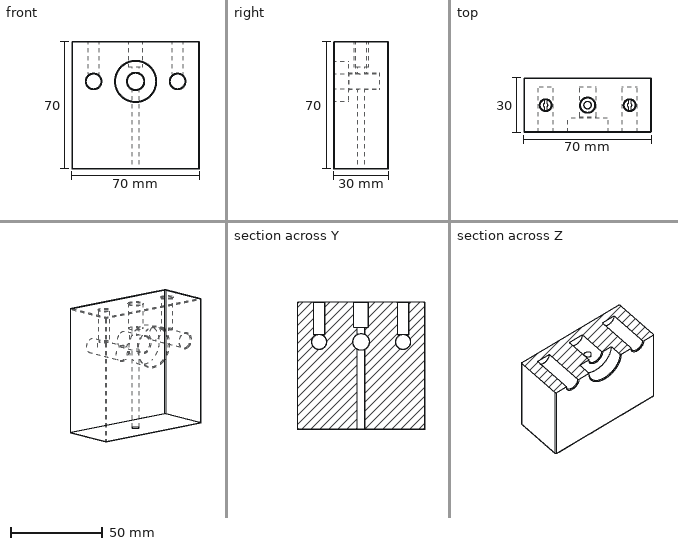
import cadquery as cq
import math

WIDTH = 70
THICKNESS = 30.0
HEIGHT = 70
EDGE_CHAMFER = 0.5
TOP_Z = HEIGHT / 2
FRONT_Y = -THICKNESS / 2

SIDE_OFFSET = 23.0
BORE_DROP = 22.0
BORE_Z = TOP_Z - BORE_DROP

SIDE_BORE_DIAMETER = 8.1
RECESS_DIAMETER = 22.1
RECESS_DEPTH = 8.0
CENTRE_BORE_DIAMETER = 9.0
BORE_DEPTH = 25.0

SIDE_HOLE_DIAMETER = 6.0
PILOT_DIAMETER = 2.4
SLIT_WIDTH = 1.3
CENTRE_HOLE_DIAMETER = 7.85
CENTRE_HOLE_DEPTH = 14
THROUGH_DIAMETER = 4.0

SIDE_BORE_RADIUS = SIDE_BORE_DIAMETER / 2
SIDE_HOLE_DEPTH = BORE_DROP - math.sqrt(SIDE_BORE_RADIUS**2 - (SLIT_WIDTH / 2) ** 2)

INTO_BLOCK = cq.Vector(0, 1, 0)
DOWN = cq.Vector(0, 0, -1)


def drill(start, direction, diameter, depth):
    """Plain flat-ended cylinder running from start along direction."""
    return cq.Solid.makeCylinder(diameter / 2, depth, start, direction)


def chamfered_drill(start, direction, diameter, depth):
    """Cylinder with a 45 degree flare at its mouth."""
    radius = diameter / 2
    flare = cq.Solid.makeCone(radius + EDGE_CHAMFER, radius, EDGE_CHAMFER, start, direction)
    return drill(start, direction, diameter, depth).fuse(flare)


def front_point(x, depth=0):
    return cq.Vector(x, FRONT_Y + depth, BORE_Z)


def top_point(x):
    return cq.Vector(x, 0, TOP_Z)


result = cq.Workplane("XY").box(WIDTH, THICKNESS, HEIGHT)
result = result.edges("|Z or >Z").chamfer(EDGE_CHAMFER)

result = result.cut(chamfered_drill(front_point(0), INTO_BLOCK, RECESS_DIAMETER, RECESS_DEPTH))
inner_depth = BORE_DEPTH - RECESS_DEPTH
inner_start = front_point(0, RECESS_DEPTH)
result = result.cut(chamfered_drill(inner_start, INTO_BLOCK, CENTRE_BORE_DIAMETER, inner_depth))

result = result.cut(chamfered_drill(top_point(0), DOWN, CENTRE_HOLE_DIAMETER, CENTRE_HOLE_DEPTH))
result = result.cut(drill(top_point(0), DOWN, THROUGH_DIAMETER, HEIGHT))

for x in (-SIDE_OFFSET, SIDE_OFFSET):
    result = result.cut(chamfered_drill(front_point(x), INTO_BLOCK, SIDE_BORE_DIAMETER, BORE_DEPTH))
    result = result.cut(chamfered_drill(top_point(x), DOWN, SIDE_HOLE_DIAMETER, SIDE_HOLE_DEPTH))
    result = result.cut(drill(top_point(x), DOWN, PILOT_DIAMETER, BORE_DROP))